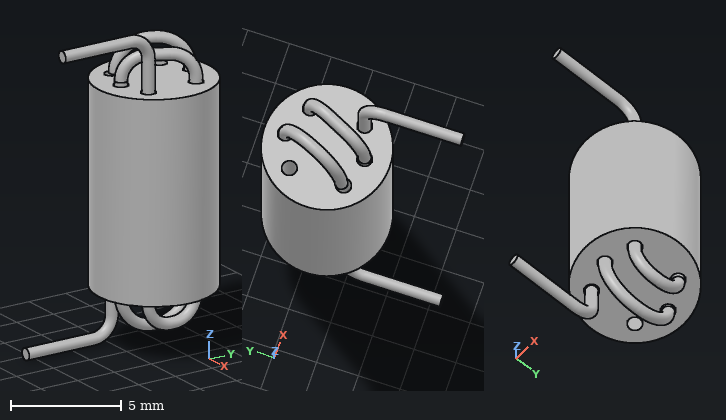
import cadquery as cq
import math

core_diameter = 6.0
core_height = 10.0
hole_diameter = 0.7
wire_diameter = 0.6

column_pitch = 1.5
outer_hole_y = 1.3
middle_back_y = 2.0
middle_front_y = -1.8
left_back = (-column_pitch, outer_hole_y)
left_front = (-column_pitch, -outer_hole_y)
middle_back = (0.0, middle_back_y)
middle_front = (0.0, middle_front_y)
right_back = (column_pitch, outer_hole_y)
right_front = (column_pitch, -outer_hole_y)
hole_centres = [left_back, left_front, middle_back, middle_front, right_back, right_front]

lead_end_y = -6.0
lead_bend_radius = 1.0
lead_height = 2.62

first_turn_radius = 1.6
first_turn_stub = 0.05
first_turn_setback = 0.15
second_turn_radius = 1.8
second_turn_stub = 0.1
inner_turn_radius = 1.2
inner_turn_stub = 0.2

TOP = 1
BOTTOM = -1


def level(side, offset):
    """Z of a point standing out of the given core end face by the offset."""
    face_z = core_height if side == TOP else 0.0
    return face_z + side * offset


def quarter_bend(start, corner, end):
    """Quarter-circle edge from start to end whose end tangents meet at the corner."""
    centre = start + end - corner
    radius = (start - centre).Length
    middle = centre + (corner - centre).normalized() * radius
    return cq.Edge.makeThreePointArc(start, middle, end)


def bend_over(start_xy, end_xy, side, stub, radius):
    """Edges of a U-turn over one core end face: bend, flat run, bend."""
    start = cq.Vector(*start_xy, level(side, stub))
    end = cq.Vector(*end_xy, level(side, stub))
    rise = cq.Vector(0, 0, side * radius)
    along = (end - start).normalized() * radius
    return [
        quarter_bend(start, start + rise, start + rise + along),
        cq.Edge.makeLine(start + rise + along, end + rise - along),
        quarter_bend(end + rise - along, end + rise, end),
    ]


def straight(hole, start_z, end_z):
    """Straight vertical edge on a hole centreline."""
    return cq.Edge.makeLine(cq.Vector(*hole, start_z), cq.Vector(*hole, end_z))


def bend_start_of_lead(side):
    """Z at which a lead leaves its hole centreline."""
    return level(side, lead_height - lead_bend_radius)


def lead_out(hole, side):
    """Edges of a lead: a bend toward -Y and the straight run to the lead end."""
    start = cq.Vector(*hole, bend_start_of_lead(side))
    corner = cq.Vector(*hole, level(side, lead_height))
    bend_end = corner - cq.Vector(0, lead_bend_radius, 0)
    lead_end = cq.Vector(hole[0], lead_end_y, corner.z)
    return [
        quarter_bend(start, corner, bend_end),
        cq.Edge.makeLine(bend_end, lead_end),
    ]


def wire_along(edges):
    """Round wire swept along connected edges listed from its start to its end."""
    path = cq.Wire.assembleEdges(edges)
    section_plane = cq.Plane(origin=edges[0].startPoint(), normal=edges[0].tangentAt(0))
    return cq.Workplane(section_plane).circle(wire_diameter / 2).sweep(cq.Workplane(path))


def make_core():
    """Cylinder with six through holes."""
    core = cq.Workplane("XY").circle(core_diameter / 2).extrude(core_height)
    holes = cq.Workplane("XY").pushPoints(hole_centres).circle(hole_diameter / 2).extrude(core_height)
    return core.cut(holes)


def make_start_lead():
    """Bottom lead; it starts flush with the bottom face, under the left front hole."""
    leg = straight(left_front, level(BOTTOM, 0), bend_start_of_lead(BOTTOM))
    return wire_along([leg] + lead_out(left_front, BOTTOM))


def make_turn(start_xy, hole, side, stub, radius, next_stub):
    """U-turn over one end face, then a straight leg through the hole to the next turn."""
    leg = straight(hole, level(side, stub), level(-side, next_stub))
    return wire_along(bend_over(start_xy, hole, side, stub, radius) + [leg])


def make_finish_lead():
    """Last turn under the core, its leg up the right front hole, and the top lead."""
    turn = bend_over(right_back, right_front, BOTTOM, inner_turn_stub, inner_turn_radius)
    leg = straight(right_front, level(BOTTOM, inner_turn_stub), bend_start_of_lead(TOP))
    return wire_along(turn + [leg] + lead_out(right_front, TOP))


first_turn_angle = math.atan2(middle_back[1] - left_front[1], middle_back[0] - left_front[0])
first_turn_start = (
    left_front[0] + first_turn_setback * math.cos(first_turn_angle),
    left_front[1] + first_turn_setback * math.sin(first_turn_angle),
)

turn_layout = [
    (first_turn_start, middle_back, TOP, first_turn_stub, first_turn_radius, second_turn_stub),
    (middle_back, middle_front, BOTTOM, second_turn_stub, second_turn_radius, inner_turn_stub),
    (middle_front, right_back, TOP, inner_turn_stub, inner_turn_radius, inner_turn_stub),
]

core = make_core()
start_lead = make_start_lead()
turns = [make_turn(*layout) for layout in turn_layout]
finish_lead = make_finish_lead()

result = cq.Compound.makeCompound(
    [core.val(), start_lead.val(), *[turn.val() for turn in turns], finish_lead.val()]
)